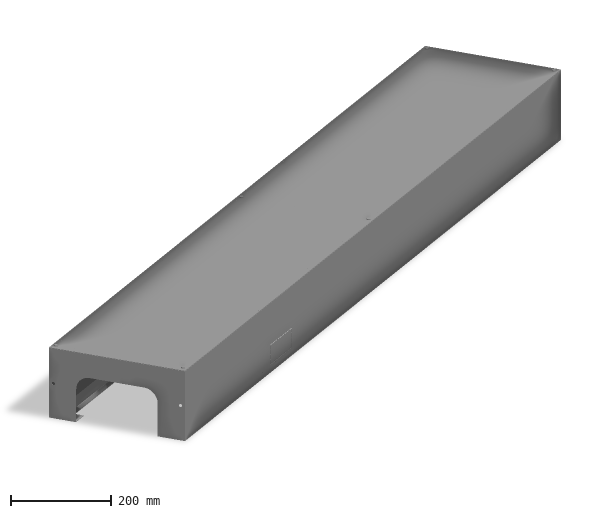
import cadquery as cq

width = 300.0
length = 1780.0
total_height = 153.16

sheet = 1.0
housing_height = 150.0
side_flange = 20.0
end_flange = 26.0
bottom_flange = 40.0
lip_height = 12.0
foot_length = 37.0

opening_width = 180.0
opening_height = 100.0
opening_radius = 30.0
end_hole_diameter = 7.0
end_hole_height = housing_height / 2

cover_thickness = sheet
cover_setback = 0.5
cover_top = housing_height + cover_thickness

screw_inset_x = 10.0
screw_inset_y = 13.0
head_diameter = 8.0
head_height = total_height - cover_top
shank_diameter = 4.0
shank_length = 8.0
screw_x = width / 2 - screw_inset_x
end_screw_y = length / 2 - screw_inset_y
screw_points = [(x, y) for x in (-screw_x, screw_x) for y in (-end_screw_y, 0, end_screw_y)]

slot_length = 10.0
slot_bridge = 1.0
slot_pitch = slot_length + slot_bridge
slot_width = 2.0
slots_along = 9
slots_up = 4
knockout_length = slots_along * slot_pitch
knockout_height = 41.0
knockout_y = -435.0
knockout_z = 38.5


def centered_block(x_size, y_size, height, base=0.0):
    """Box centred in X and Y that stands on the given height."""
    plane = cq.Workplane("XY", origin=(0, 0, base))
    return plane.box(x_size, y_size, height, centered=(True, True, False))


def block(x_min, x_max, y_min, y_max, height):
    """Box on the base plane, given by its limits in X and Y."""
    corner = cq.Workplane("XY", origin=(x_min, y_min, 0))
    return corner.box(x_max - x_min, y_max - y_min, height, centered=False)


def spread(count, pitch):
    """Evenly spaced positions centred on zero."""
    return [(i - (count - 1) / 2) * pitch for i in range(count)]


def make_shell():
    """Walls and end plates, open below, with a flange around the open top."""
    outer = centered_block(width, length, housing_height)
    inner = centered_block(width - 2 * sheet, length - 2 * sheet, housing_height - sheet)
    window = centered_block(width - 2 * side_flange, length - 2 * end_flange, housing_height)
    return outer.cut(inner).cut(window)


def make_side_channel():
    """Bottom flange of the +X wall, its upturned lip and the wider feet at both ends."""
    x_wall = width / 2
    x_lip = x_wall - bottom_flange
    x_foot = opening_width / 2
    y_end = length / 2
    y_lip = y_end - foot_length
    flange = block(x_lip, x_wall, -y_end, y_end, sheet)
    lip = block(x_lip, x_lip + sheet, -y_lip, y_lip, lip_height)
    front_foot = block(x_foot, x_wall, -y_end, -y_lip, sheet)
    back_foot = block(x_foot, x_wall, y_lip, y_end, sheet)
    return flange.union(lip).union(front_foot).union(back_foot)


def make_end_opening():
    """Arch through both end plates, open at the bottom, with rounded upper corners."""
    arch = centered_block(opening_width, length, opening_height)
    return arch.edges("|Y and >Z").fillet(opening_radius)


def make_end_holes():
    """Holes through both end plates, one over each leg."""
    return (
        cq.Workplane("XZ", origin=(0, length / 2, end_hole_height))
        .pushPoints([(-screw_x, 0), (screw_x, 0)])
        .circle(end_hole_diameter / 2)
        .extrude(length)
    )


def make_knockout_slots():
    """Slots along the four sides of the knockout, cut through both side walls."""
    y_edge = knockout_length / 2
    z_edge = knockout_height / 2
    rows = [(y, z) for y in spread(slots_along, slot_pitch) for z in (-z_edge, z_edge)]
    columns = [(y, z) for y in (-y_edge, y_edge) for z in spread(slots_up, slot_pitch)]
    plane = cq.Workplane("YZ", origin=(-width / 2, knockout_y, knockout_z))
    row_slots = plane.pushPoints(rows).rect(slot_length, slot_width).extrude(width)
    column_slots = plane.pushPoints(columns).rect(slot_width, slot_length).extrude(width)
    return row_slots.union(column_slots)


def make_screw_holes():
    """Holes for the screw shanks in the cover and the top flange."""
    return (
        cq.Workplane("XY", origin=(0, 0, cover_top))
        .pushPoints(screw_points)
        .circle(shank_diameter / 2)
        .extrude(-shank_length)
    )


def make_housing():
    """Folded housing with everything cut into it."""
    channel = make_side_channel()
    return (
        make_shell()
        .cut(make_end_opening())
        .union(channel)
        .union(channel.mirror("YZ"))
        .cut(make_end_holes())
        .cut(make_knockout_slots())
        .cut(make_screw_holes())
    )


def make_cover():
    """Flat plate on the top flange, set back slightly from the housing on all sides."""
    cover_width = width - 2 * cover_setback
    cover_length = length - 2 * cover_setback
    plate = centered_block(cover_width, cover_length, cover_thickness, housing_height)
    return plate.cut(make_screw_holes())


def make_screw(x, y):
    """Cylindrical head resting on the cover, with a shank through cover and flange."""
    seat = cq.Workplane("XY", origin=(x, y, cover_top))
    head = seat.circle(head_diameter / 2).extrude(head_height)
    shank = seat.circle(shank_diameter / 2).extrude(-shank_length)
    return head.union(shank)


housing = make_housing()
cover = make_cover()
screws = [make_screw(x, y).solids().val() for x, y in screw_points]

result = cq.Compound.makeCompound([housing.solids().val(), cover.solids().val(), *screws])